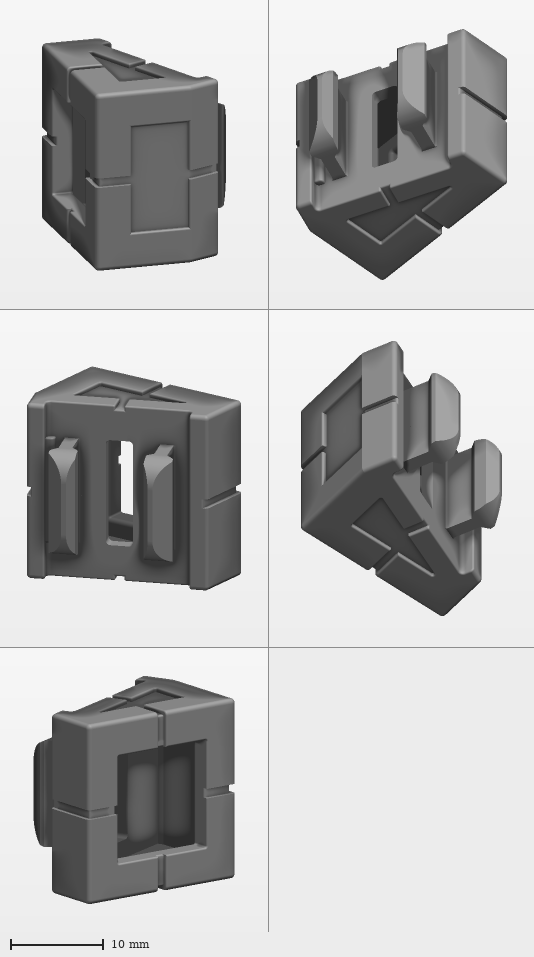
import cadquery as cq
import math

height = 20.0
half_height = height / 2
tilt = 23.0
face_width = height
left_length = 6.7
back_half = 10.0
lug_height = 1.5
recess_half = 8.0
outer_round = 0.5
rim_round = 0.2

relief_depth = 0.5
frame_width = 4.0
pocket_margin = 0.22
groove_width = 1.0
groove_overlap = 0.67
belt_width = 1.05
back_wall = 1.44
side_wall = 2.0
window_half = face_width / 2 - frame_width
front_wall = 2.5
slot_width = 3.0

clip_half_height = 5.93
clip_inner = 4.52
clip_outer = 6.0
clip_length = 6.55
clip_tip_round = 2.99
clip_foot_round = 0.22
clip_outline = [
    (clip_inner, 0),
    (clip_inner, 3.1),
    (3.77, 3.85),
    (3.77, 5.25),
    (4.5, clip_length),
    (5.03, clip_length),
    (6.8, 4.72),
    (6.8, 4.22),
    (clip_outer, 3.42),
    (clip_outer, 0),
]
key_width = 0.99
key_height = 0.7
key_root = 0.22

reach = 44.95
touching = 0.0002

sin_tilt = math.sin(math.radians(tilt))
cos_tilt = math.cos(math.radians(tilt))
tan_tilt = math.tan(math.radians(tilt))
front_left = (-back_half - left_length * sin_tilt, lug_height - left_length * cos_tilt)
front_tip = (front_left[0] + face_width * cos_tilt, front_left[1] - face_width * sin_tilt)
right_length = (back_half - front_tip[0]) / sin_tilt
right_bend = (back_half, front_tip[1] + right_length * cos_tilt)
pocket_back = lug_height - frame_width


def on_wedge(along, inward):
    """Point measured along the front face from its left corner, then inward."""
    return (
        front_left[0] + along * cos_tilt + inward * sin_tilt,
        front_left[1] - along * sin_tilt + inward * cos_tilt,
    )


def prism(points, half):
    """Prism on an XY outline, from z = -half to z = half."""
    return cq.Workplane("XY").workplane(offset=-half).polyline(points).close().extrude(2 * half)


def wedge_outline(back_y, side_inset, front_inset):
    """Wedge outline with its back at back_y and the other faces moved inward."""
    left_corner = on_wedge(side_inset, front_inset)
    bend_shift = side_inset * math.tan(math.radians(tilt / 2))
    return [
        (left_corner[0] + (back_y - left_corner[1]) * tan_tilt, back_y),
        left_corner,
        on_wedge(face_width - side_inset, front_inset),
        (right_bend[0] - side_inset, right_bend[1] + bend_shift),
        (right_bend[0] - side_inset, back_y),
    ]


def front_box(width, front_inset, back_inset, half):
    """Box square to the front face and centred across it, between two insets."""
    left = (face_width - width) / 2
    right = left + width
    return prism(
        [
            on_wedge(left, front_inset),
            on_wedge(right, front_inset),
            on_wedge(right, back_inset),
            on_wedge(left, back_inset),
        ],
        half,
    )


def new_rims(before, after):
    """Edges that a cut has made on the skin of the solid before it."""
    skin = before.val().Shells()[0]
    old_edges = cq.Compound.makeCompound(before.edges().vals())
    rims = []
    for edge in after.edges().vals():
        spots = [cq.Vertex.makeVertex(*edge.positionAt(t).toTuple()) for t in (0.2, 0.5, 0.8)]
        on_skin = all(skin.distance(spot) < touching for spot in spots)
        if on_skin and old_edges.distance(spots[1]) > touching:
            rims.append(edge)
    return rims


def cut_with_round_rims(solid, cutter):
    """Cut a solid and round the rims that the cut leaves on its skin."""
    opened = solid.cut(cutter)
    return opened.newObject(new_rims(solid, opened)).fillet(rim_round)


def outer_block():
    """Wedge with rounded outer edges and a recess between the back lugs."""
    block = prism(wedge_outline(lug_height, 0, 0), half_height)
    sharp_bend = cq.selectors.BoxSelector(
        (right_bend[0] - touching, right_bend[1] - touching, -reach),
        (right_bend[0] + touching, right_bend[1] + touching, reach),
    )
    upright = cq.selectors.StringSyntaxSelector("|Z")
    block = block.edges(cq.selectors.SubtractSelector(upright, sharp_bend)).fillet(outer_round)
    block = block.faces("|Z").edges().fillet(outer_round)
    recess = (
        cq.Workplane("XY")
        .box(2 * recess_half, 2 * lug_height, 2 * height)
        .translate((0, lug_height, 0))
        .edges("|Z and <Y")
        .fillet(outer_round)
    )
    return cut_with_round_rims(block, recess)


def window():
    """Square opening through the front wall."""
    opening = front_box(2 * window_half, -front_wall, front_wall + side_wall, window_half)
    through = cq.selectors.ParallelDirSelector(cq.Vector(sin_tilt, cos_tilt, 0))
    return opening.edges(through).fillet(rim_round)


def core():
    """The wedge below the floors of the pockets and grooves."""
    outline = wedge_outline(lug_height, relief_depth, relief_depth)
    solid = prism(outline, half_height - relief_depth).edges().fillet(rim_round)
    return cut_with_round_rims(solid, window())


def triangle_pattern():
    """Triangular pocket with a groove to the back and another over the front edge."""
    front_right = on_wedge(face_width - frame_width, frame_width)
    pocket_length = pocket_back - front_right[1]
    triangle = prism(
        [
            (front_right[0] - pocket_length / tan_tilt, pocket_back),
            front_right,
            (front_right[0] + pocket_length * tan_tilt, pocket_back),
        ],
        height,
    )
    triangle = triangle.edges("|Z").fillet(rim_round)
    half_groove = groove_width / 2
    back_groove = prism(
        [
            (-half_groove, pocket_back - groove_overlap),
            (half_groove, pocket_back - groove_overlap),
            (half_groove, lug_height),
            (-half_groove, lug_height),
        ],
        height,
    )
    front_groove = front_box(groove_width, -frame_width, frame_width + groove_overlap, height)
    return triangle.union(back_groove).union(front_groove)


def right_pocket():
    """Pocket in the sloped right face; above mid-height its floor meets the walls in a fillet."""
    floor = face_width - relief_depth
    outside = face_width + relief_depth
    pocket_end = right_length - pocket_margin
    pocket = prism(
        [
            on_wedge(floor, frame_width),
            on_wedge(outside, frame_width),
            on_wedge(outside, pocket_end),
            on_wedge(floor, pocket_end),
        ],
        window_half,
    )
    below_middle = cq.Workplane("XY").box(reach, reach, reach).translate((0, 0, -reach / 2))
    outward = cq.Vector(cos_tilt, -sin_tilt, 0)
    upper_floor = pocket.cut(below_middle).faces(cq.selectors.DirectionMinMaxSelector(outward, False))
    upper_part = upper_floor.edges("not(<Z)").fillet(rim_round)
    return upper_part.union(pocket.intersect(below_middle))


def cavity():
    """Hollow behind the window, with the window's inner edge rounded where they meet."""
    room = prism(wedge_outline(-back_wall, side_wall, front_wall), half_height - side_wall)
    opened = room.union(window())
    return opened.newObject(new_rims(room, opened)).fillet(outer_round)


def slot():
    """Upright slot through the back wall."""
    block = cq.Workplane("XY").box(slot_width, 2 * side_wall, 2 * window_half)
    return block.edges("|Y").fillet(outer_round)


def belt():
    """Groove round the left, front and right sides at mid-height."""
    return cq.Workplane("XY").box(reach, reach, belt_width).cut(core())


def key():
    """Rounded rib in the corner beside the right lug."""
    rib = (
        cq.Workplane("XY")
        .box(key_width + key_root, key_height + key_root, 2 * window_half)
        .translate((recess_half - (key_width - key_root) / 2, (key_height - key_root) / 2, 0))
        .edges("|Z and <X and >Y")
        .fillet(outer_round)
    )
    return rib.faces("|Z").edges().fillet(rim_round)


def clip_foot(x, direction):
    """Concave rounding where one side of the clip meets the back face."""
    return (
        cq.Workplane("XY")
        .workplane(offset=-clip_half_height)
        .moveTo(x, 0)
        .lineTo(x + direction * clip_foot_round, 0)
        .radiusArc((x, clip_foot_round), direction * clip_foot_round)
        .close()
        .extrude(2 * clip_half_height)
    )


def clip():
    """Right-hand snap clip standing on the back face, with a rounded tip."""
    side_shape = (
        cq.Workplane("XY")
        .box(reach, 2 * clip_length, 2 * clip_half_height)
        .edges("|X and >Y")
        .fillet(clip_tip_round)
    )
    shape = prism(clip_outline, clip_half_height).intersect(side_shape)
    return shape.union(clip_foot(clip_inner, -1)).union(clip_foot(clip_outer, 1))


def housing():
    """The whole shape, before it is split into halves."""
    shape = outer_block()
    shape = cut_with_round_rims(shape, triangle_pattern().cut(core()).union(window()))
    shape = cut_with_round_rims(shape, right_pocket())
    for cutter in (belt(), cavity(), slot()):
        shape = shape.cut(cutter)
    right_clip = clip()
    for addition in (key(), right_clip, right_clip.mirror("YZ")):
        shape = shape.union(addition)
    return shape


whole = housing()
split_z = -belt_width / 2
below_split = cq.Workplane("XY").box(reach, reach, reach).translate((0, 0, split_z - reach / 2))
lower_half = whole.intersect(below_split)
upper_half = whole.cut(below_split)

result = cq.Compound.makeCompound([lower_half.val(), upper_half.val()])